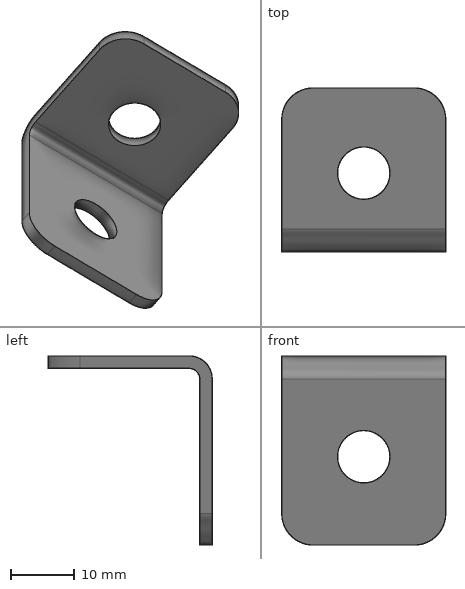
import cadquery as cq

width = 26.0
depth = 26.0
height = 30.0
thickness = 2.0
outer_bend_radius = 3.7
corner_radius = 5.0
hole_diameter = 8.25
top_hole_from_back = 13.5
front_hole_from_bottom = 14.0

inner_bend_radius = outer_bend_radius - thickness


def bent_strip():
    """L-shaped sheet: front flange at Y = 0, top flange at Z = height."""
    profile = (
        cq.Workplane("YZ")
        .moveTo(0, 0)
        .lineTo(0, height - outer_bend_radius)
        .radiusArc((outer_bend_radius, height), outer_bend_radius)
        .lineTo(depth, height)
        .lineTo(depth, height - thickness)
        .lineTo(outer_bend_radius, height - thickness)
        .radiusArc((thickness, height - outer_bend_radius), -inner_bend_radius)
        .lineTo(thickness, 0)
        .close()
    )
    return profile.extrude(width / 2, both=True)


def round_flange_corners(bracket):
    """Round the two free corners of each flange."""
    bracket = bracket.faces("<Z").edges("|Y").fillet(corner_radius)
    return bracket.faces(">Y").edges("|Z").fillet(corner_radius)


def top_hole():
    return (
        cq.Workplane("XY", origin=(0, depth - top_hole_from_back, height - thickness))
        .circle(hole_diameter / 2)
        .extrude(thickness)
    )


def front_hole():
    return (
        cq.Workplane("XZ", origin=(0, thickness, front_hole_from_bottom))
        .circle(hole_diameter / 2)
        .extrude(thickness)
    )


bracket = round_flange_corners(bent_strip())
result = bracket.cut(top_hole()).cut(front_hole())